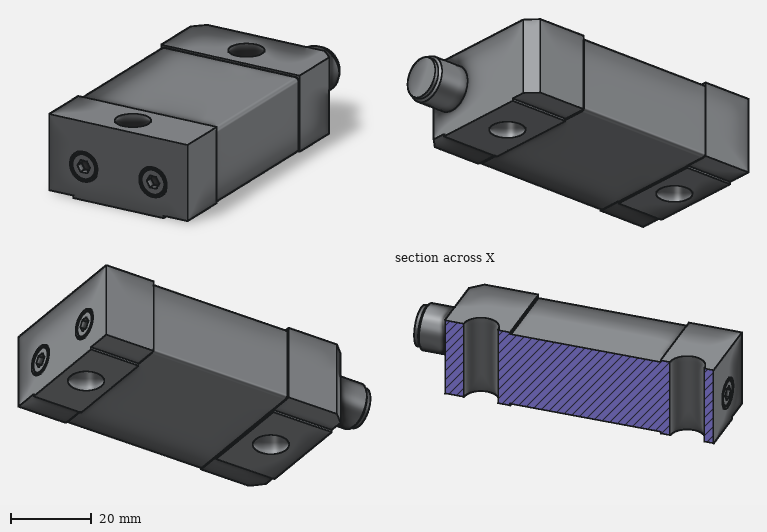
import cadquery as cq


overall_length = 81.0
overall_height = 21.0
width = 40.0

front_cap_length = 14.0
rear_cap_length = 17.25
rear_corner_chamfer = 3.0
foot_width = 26.1
foot_height = 0.65
cap_height = overall_height - foot_height

housing_side_step = 0.1
housing_width = width - 2 * housing_side_step
housing_height = 20.0
housing_top_step = 0.5
housing_mid_z = overall_height - housing_top_step - housing_height / 2
housing_edge_radius = 1.05

seal_thickness = 0.25
seal_inset = 0.1

mount_hole_diameter = 9.0
mount_hole_spacing = 54.5
front_hole_y = front_cap_length / 2
rear_hole_y = front_hole_y + mount_hole_spacing

screw_spacing = 20.0
screw_z = 9.0
screw_recess_diameter = 8.0
screw_recess_depth = 0.7
screw_head_diameter = 7.0
screw_head_chamfer = 0.25
hex_corner_diameter = 3.65
hex_depth = 2.0

connector_x = 10.05
connector_z = 12.0
connector_length = 10.0
connector_diameter = 12.0
connector_tip_diameter = 10.5
connector_tip_length = 1.05
connector_taper_length = 0.6

rear_face_y = overall_length - connector_length
rear_cap_y = rear_face_y - rear_cap_length
housing_length = rear_cap_y - seal_thickness - front_cap_length


def disc_along_y(diameter, length, x, y, z):
    """Cylinder that starts at (x, y, z) and runs towards +Y."""
    axis = cq.Vector(0, 1, 0)
    return cq.Workplane(cq.Solid.makeCylinder(diameter / 2, length, cq.Vector(x, y, z), axis))


def make_cap(start_y, length):
    """Rectangular end cap standing on a narrower foot."""
    block = cq.Workplane().box(width, length, cap_height, centered=(True, False, False))
    foot = cq.Workplane().box(foot_width, length, foot_height, centered=(True, False, False))
    return block.translate((0, start_y, foot_height)).union(foot.translate((0, start_y, 0)))


def make_rear_cap():
    """Rear cap with its two vertical rear corners cut at 45 degrees."""
    cap = make_cap(rear_cap_y, rear_cap_length)
    return cap.edges("|Z and >Y").edges("<X or >X").chamfer(rear_corner_chamfer)


def make_bar(start_y, length, bar_width, bar_height):
    """Bar along Y with its four long edges rounded, centred on the housing axis."""
    bar = cq.Workplane().box(bar_width, length, bar_height, centered=(True, False, True))
    return bar.edges("|Y").fillet(housing_edge_radius).translate((0, start_y, housing_mid_z))


def make_housing():
    """Housing between the front cap and the seal."""
    return make_bar(front_cap_length, housing_length, housing_width, housing_height)


def make_seal():
    """Thin seal that leaves a shallow joint line between the housing and the rear cap."""
    seal_width = housing_width - 2 * seal_inset
    seal_height = housing_height - 2 * seal_inset
    return make_bar(rear_cap_y - seal_thickness, seal_thickness, seal_width, seal_height)


def make_connector():
    """Round connector with a tapered shoulder and a thinner tip."""
    radius = connector_diameter / 2
    tip_radius = connector_tip_diameter / 2
    taper_end = connector_length - connector_tip_length
    return (
        cq.Workplane()
        .lineTo(radius, 0)
        .lineTo(radius, taper_end - connector_taper_length)
        .lineTo(tip_radius, taper_end)
        .lineTo(tip_radius, connector_length)
        .lineTo(0, connector_length)
        .close()
        .revolve(360, (0, 0, 0), (0, 1, 0))
        .translate((connector_x, rear_face_y, connector_z))
    )


def add_screw(body, x):
    """Sink a screw head into the front face, flush and with a clearance ring around it."""
    recess = disc_along_y(screw_recess_diameter, screw_recess_depth, x, 0, screw_z)
    head = disc_along_y(screw_head_diameter, screw_recess_depth, x, 0, screw_z)
    head = head.faces("<Y").edges().chamfer(screw_head_chamfer)
    socket = (
        cq.Workplane("XZ")
        .center(x, screw_z)
        .polygon(6, hex_corner_diameter)
        .extrude(-hex_depth)
    )
    return body.cut(recess).union(head).cut(socket)


result = make_cap(0, front_cap_length)
result = result.union(make_housing())
result = result.union(make_seal())
result = result.union(make_rear_cap())
result = result.union(make_connector())

for hole_y in (front_hole_y, rear_hole_y):
    drill = cq.Workplane().center(0, hole_y).circle(mount_hole_diameter / 2).extrude(overall_height)
    result = result.cut(drill)

for side in (-1, 1):
    result = add_screw(result, side * screw_spacing / 2)